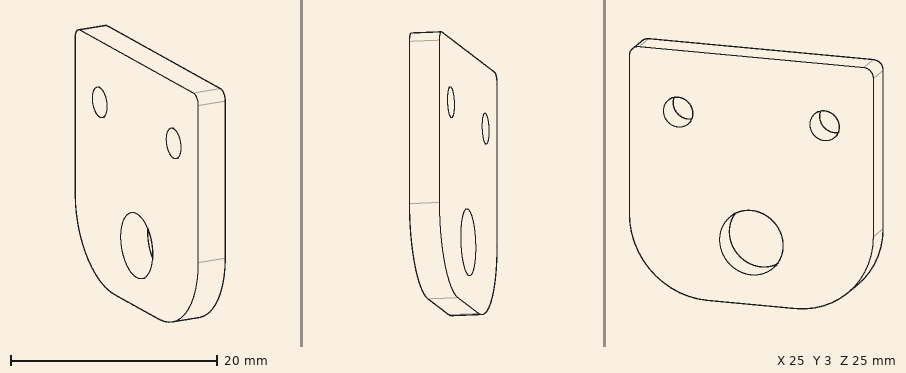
import cadquery as cq

width = 25
height = 25
thickness = 3
top_corner_radius = 1
bottom_corner_radius = 8

small_hole_diameter = 3
small_hole_spacing = 15
large_hole_diameter = 6.5
hole_edge_distance = 6.25
hole_height = height / 2 - hole_edge_distance


def make_plate():
    """Upright plate centred on the origin, with rounded corners."""
    plate = cq.Workplane("XY").box(width, thickness, height)
    plate = plate.edges("|Y and >Z").fillet(top_corner_radius)
    return plate.edges("|Y and <Z").fillet(bottom_corner_radius)


def make_hole_cutter(x, z, diameter):
    """Cylinder along Y that spans the plate thickness."""
    back_face = cq.Workplane("XZ", origin=(x, thickness / 2, z))
    return back_face.circle(diameter / 2).extrude(thickness)


result = make_plate()

for side in (-1, 1):
    result = result.cut(make_hole_cutter(side * small_hole_spacing / 2, hole_height, small_hole_diameter))

result = result.cut(make_hole_cutter(0, -hole_height, large_hole_diameter))